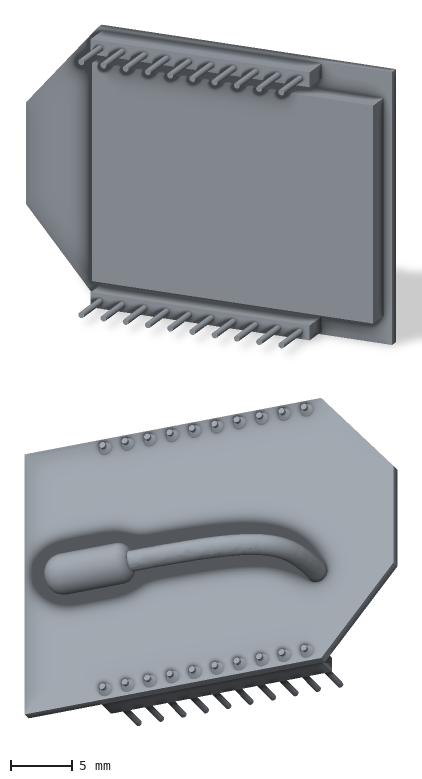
import cadquery as cq

board_length = 32.94
board_height = 23.73
board_thickness = 0.8
nose_length = 6.45
nose_tip_height = 8.83

module_left = 6.85
module_length = 25.3
module_height = 18.95
module_depth = 2.0

header_left = module_left
header_length = 19.72
header_height = 1.3
header_depth = 2.3
header_offset = 11.0

pin_count = 10
pin_pitch = 2.0
pin_diameter = 0.52
pin_front_length = 3.75
pin_back_length = 0.7
solder_diameter = 1.2
solder_height = 0.37

wire_diameter = 1.74
wire_x = 6.77
antenna_z = -4.0
antenna_y = 8.81
rise_handle = 6.7
run_handle = 12.1
capsule_left = 19.96
capsule_length = 7.55
capsule_diameter = 3.4
capsule_inner_round = 1.0
capsule_outer_round = 1.5


def box_at(left, length, height, y_start, depth, z_centre=0.0):
    """Block from X = left, centred on z_centre, from y_start towards +Y."""
    block = cq.Workplane("XY").box(length, depth, height, centered=(False, False, True))
    return block.translate((left, y_start, z_centre))


def make_board():
    half_height = board_height / 2
    half_tip = nose_tip_height / 2
    outline = [
        (0, -half_tip),
        (nose_length, -half_height),
        (board_length, -half_height),
        (board_length, half_height),
        (nose_length, half_height),
        (0, half_tip),
    ]
    return cq.Workplane("XZ").polyline(outline).close().extrude(-board_thickness)


def make_pin():
    """Pin with its solder cone, as a turned profile about the Y axis."""
    pin_radius = pin_diameter / 2
    front_tip = -header_depth - pin_front_length
    solder_top = board_thickness + solder_height
    back_tip = board_thickness + pin_back_length
    profile = [
        (0, front_tip),
        (pin_radius, front_tip),
        (pin_radius, board_thickness),
        (solder_diameter / 2, board_thickness),
        (pin_radius, solder_top),
        (pin_radius, back_tip),
        (0, back_tip),
    ]
    return cq.Workplane("XY").polyline(profile).close().revolve(360, (0, 0, 0), (0, 1, 0))


def make_header(z_centre):
    header = box_at(header_left, header_length, header_height, -header_depth, header_depth, z_centre)
    pin = make_pin()
    first_pin_x = header_left + (header_length - (pin_count - 1) * pin_pitch) / 2
    for index in range(pin_count):
        header = header.union(pin.translate((first_pin_x + index * pin_pitch, 0, z_centre)))
    return header


def make_wire():
    """Round wire swept along one cubic curve, from the board's back face to the capsule."""
    path_points = [
        (wire_x, board_thickness),
        (wire_x, board_thickness + rise_handle),
        (capsule_left - run_handle, antenna_y),
        (capsule_left, antenna_y),
    ]
    path = cq.Workplane("XY", origin=(0, 0, antenna_z)).bezier(path_points)
    section = cq.Workplane("XZ", origin=(wire_x, board_thickness, antenna_z)).circle(wire_diameter / 2)
    return section.sweep(path)


def make_capsule():
    capsule = (
        cq.Workplane("YZ", origin=(capsule_left, antenna_y, antenna_z))
        .circle(capsule_diameter / 2)
        .extrude(capsule_length)
    )
    capsule = capsule.faces("<X").edges().fillet(capsule_inner_round)
    return capsule.faces(">X").edges().fillet(capsule_outer_round)


result = make_board()
result = result.union(box_at(module_left, module_length, module_height, -module_depth, module_depth))
for side in (1, -1):
    result = result.union(make_header(side * header_offset))
result = result.union(make_wire()).union(make_capsule())